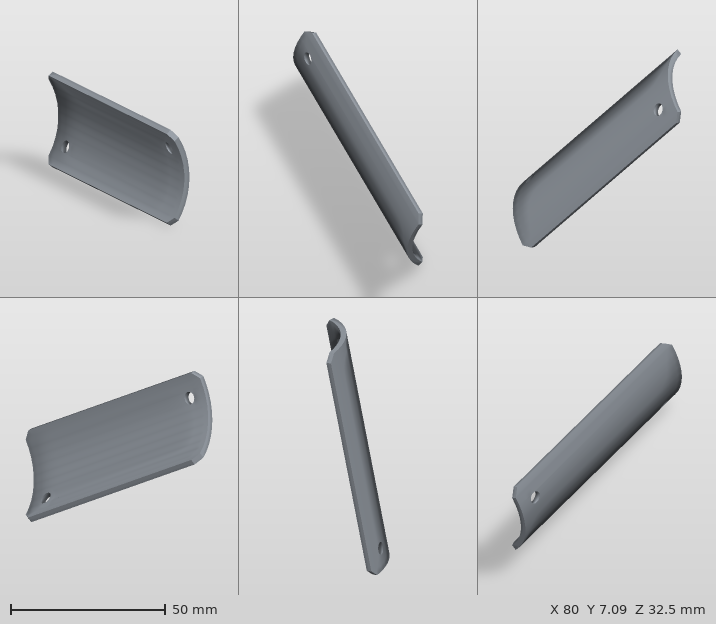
import cadquery as cq
import math

length = 80.0
height = 32.5
thickness = 1.9
half_angle = 38.0
corner_length = 2.6
corner_arc = 2.6
hole_diameter = 4.2
hole_x = 33.0
hole_angle = 20.4

outer_radius = height / 2 / math.sin(math.radians(half_angle))
inner_radius = outer_radius - thickness


def arc_point(radius, angle):
    """Point (y, z) on the arc, with the middle of the arc at +Y."""
    return (radius * math.cos(math.radians(angle)), radius * math.sin(math.radians(angle)))


def curved_plate():
    return (
        cq.Workplane("YZ", origin=(-length / 2, 0, 0))
        .moveTo(*arc_point(outer_radius, -half_angle))
        .threePointArc(arc_point(outer_radius, 0), arc_point(outer_radius, half_angle))
        .lineTo(*arc_point(inner_radius, half_angle))
        .threePointArc(arc_point(inner_radius, 0), arc_point(inner_radius, -half_angle))
        .close()
        .extrude(length)
    )


def radial_hole(x, angle):
    """Cylinder pointing outward from the arc axis."""
    direction = cq.Vector(0, *arc_point(1, angle))
    cutter = cq.Solid.makeCylinder(hole_diameter / 2, outer_radius + thickness, cq.Vector(x, 0, 0), direction)
    return cq.Workplane(cutter)


plate = curved_plate()

corner_edges = plate.faces("<X or >X").edges("%LINE")
plate = corner_edges.chamfer(corner_arc, corner_length)

for side in (-1, 1):
    plate = plate.cut(radial_hole(side * hole_x, side * hole_angle))

result = plate